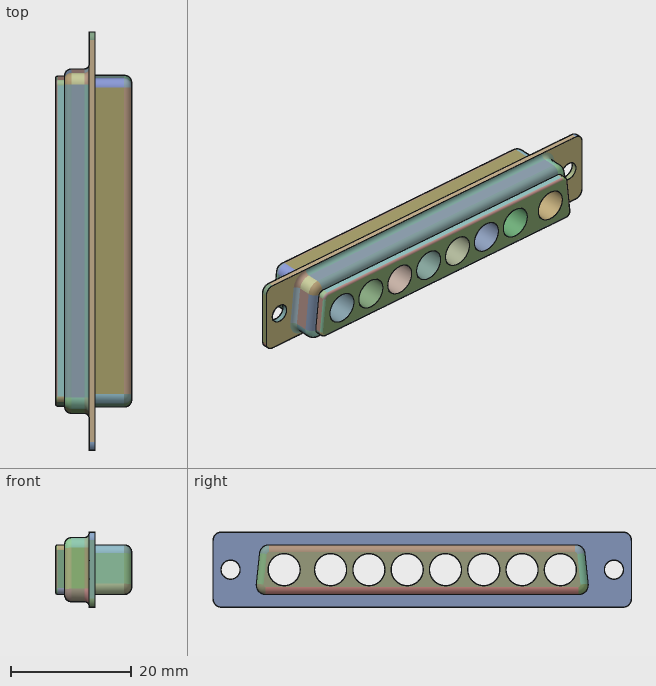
import cadquery as cq
import math

flange_length = 69.3
flange_height = 12.5
flange_thickness = 1.0
flange_corner_radius = 1.4
mount_hole_diameter = 3.1
mount_hole_spacing = 63.5

side_angle = math.radians(6.0)

shell_depth = 4.1
shell_height = 10.7
shell_half_width = 28.2
shell_corner_radius = 1.95
shell_front_radius = 1.2
shell_foot_radius = 0.75

insert_projection = 1.45
insert_height = 8.25
insert_half_width = 27.0
insert_corner_radius = 1.0
insert_edge_radius = 0.35

back_depth = 6.1
back_height = insert_height
back_half_width = 27.25
back_corner_radius = 1.6
back_edge_radius = 1.25

contact_diameter = 5.3
row_count = 7
row_span = 38.05
contact_pitch = row_span / (row_count - 1)
first_contact_y = 22.9
contact_ys = [first_contact_y - i * contact_pitch for i in range(row_count)]
contact_ys.append(-first_contact_y)

front_x = -(shell_depth + insert_projection)
back_x = flange_thickness + back_depth


def d_body(x_start, x_end, height, half_width, corner_radius):
    """Extrude a rounded D-shaped trapezoid along X, wider at the bottom."""
    half_height = height / 2
    lean = half_height * math.tan(side_angle)
    outline = [
        (-half_width - lean, -half_height),
        (half_width + lean, -half_height),
        (half_width - lean, half_height),
        (-half_width + lean, half_height),
    ]
    return (
        cq.Workplane("YZ", origin=(x_start, 0, 0))
        .polyline(outline)
        .close()
        .extrude(x_end - x_start)
        .edges("|X")
        .fillet(corner_radius)
    )


def drill(diameter, y_positions):
    """Cylinders along X, at mid-height, long enough to pass through the part."""
    return (
        cq.Workplane("YZ", origin=(front_x, 0, 0))
        .pushPoints([(y, 0) for y in y_positions])
        .circle(diameter / 2)
        .extrude(back_x - front_x)
    )


flange = (
    cq.Workplane("YZ")
    .rect(flange_length, flange_height)
    .extrude(flange_thickness)
    .edges("|X")
    .fillet(flange_corner_radius)
)

shell = d_body(-shell_depth, 0, shell_height, shell_half_width, shell_corner_radius)
shell = shell.faces("<X").edges().fillet(shell_front_radius)
foot_box_y = flange_length / 2 - flange_corner_radius
foot_box_z = (shell_height + flange_height) / 4
shell_foot = cq.selectors.BoxSelector(
    (-shell_foot_radius / 2, -foot_box_y, -foot_box_z),
    (shell_foot_radius / 2, foot_box_y, foot_box_z),
)
housing = flange.union(shell).edges(shell_foot).fillet(shell_foot_radius)

insert = d_body(front_x, 0, insert_height, insert_half_width, insert_corner_radius)
insert = insert.faces("<X").edges().fillet(insert_edge_radius)

back = d_body(0, back_x, back_height, back_half_width, back_corner_radius)
back = back.faces(">X").edges().fillet(back_edge_radius)

result = housing.union(insert).union(back)
result = result.cut(drill(contact_diameter, contact_ys))
mount_hole_ys = (-mount_hole_spacing / 2, mount_hole_spacing / 2)
result = result.cut(drill(mount_hole_diameter, mount_hole_ys))